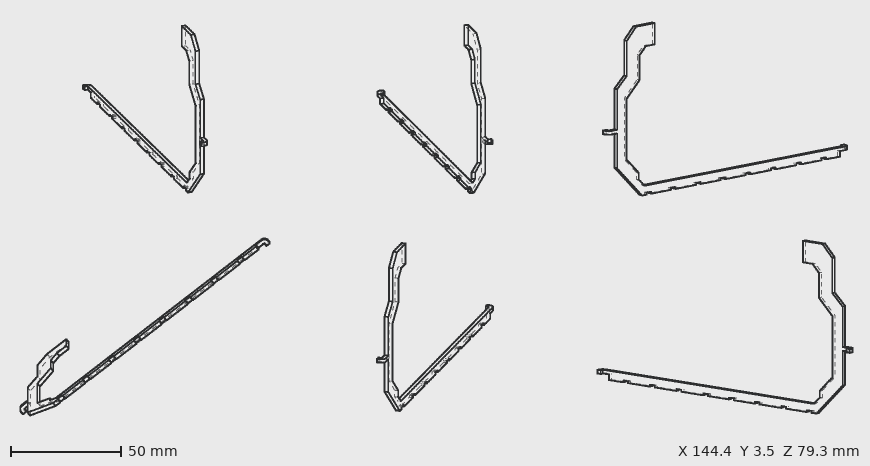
import cadquery as cq

length = 144.4
height = 79.3
depth = 3.5

plate_thickness = 1.9
rail_height = 4.3
rail_start = 5.3
rail_end = 123.9
post_inner_x = 133.1
post_outer_x = 138.9
neck_inner_x = 125.3
head_left_x = 116.2
head_bottom_z = 69.3

tab_height = 1.7
tab_overlap = 1.5
right_tab_bottom = 31.2
leg_width = 2.0
outer_bend_radius = 2.2

notch_width = 2.7
notch_depth = 0.9
notch_starts = [13.6, 28.7, 43.9, 59.2, 74.0, 88.7, 103.8, 118.4]


def make_strip():
    """Bent strip: rail, slanted elbow, upright post and head."""
    outline = [
        (rail_start, 0),
        (rail_end, 0),
        (post_outer_x, 15.0),
        (post_outer_x, 51.8),
        (post_inner_x, 57.2),
        (post_inner_x, 73.5),
        (127.5, height),
        (head_left_x, height),
        (head_left_x, head_bottom_z),
        (121.7, head_bottom_z),
        (neck_inner_x, 65.7),
        (neck_inner_x, 54.2),
        (post_inner_x, 46.5),
        (post_inner_x, 18.2),
        (125.8, 10.8),
        (125.8, 7.7),
        (122.3, rail_height),
        (rail_start, rail_height),
    ]
    return cq.Workplane("XZ").polyline(outline).close().extrude(plate_thickness)


def make_left_tab(root_x, bottom_z):
    """L-shaped tab with its forward-pointing leg at X = 0."""
    tab = (
        cq.Workplane("XY")
        .workplane(offset=bottom_z)
        .moveTo(root_x, 0)
        .lineTo(0, 0)
        .lineTo(0, -depth)
        .lineTo(leg_width, -depth)
        .lineTo(leg_width, -plate_thickness)
        .lineTo(root_x, -plate_thickness)
        .close()
        .extrude(tab_height)
    )
    outer_corner = cq.selectors.NearestToPointSelector((0, 0, bottom_z + tab_height / 2))
    return tab.edges(outer_corner).fillet(outer_bend_radius)


def make_right_tab(root_x, bottom_z):
    """Mirror image of the left tab, ending at the full length."""
    tab = make_left_tab(length - root_x, bottom_z)
    return tab.mirror("YZ").translate((length, 0, 0))


def make_notches():
    """Through-thickness cutters along the lower edge of the rail."""
    points = [(start + notch_width / 2, 0) for start in notch_starts]
    return (
        cq.Workplane("XZ")
        .pushPoints(points)
        .rect(notch_width, 2 * notch_depth)
        .extrude(plate_thickness)
    )


left_tab = make_left_tab(rail_start + tab_overlap, rail_height - tab_height)
right_tab = make_right_tab(post_outer_x - tab_overlap, right_tab_bottom)
result = make_strip().union(left_tab).union(right_tab).cut(make_notches())